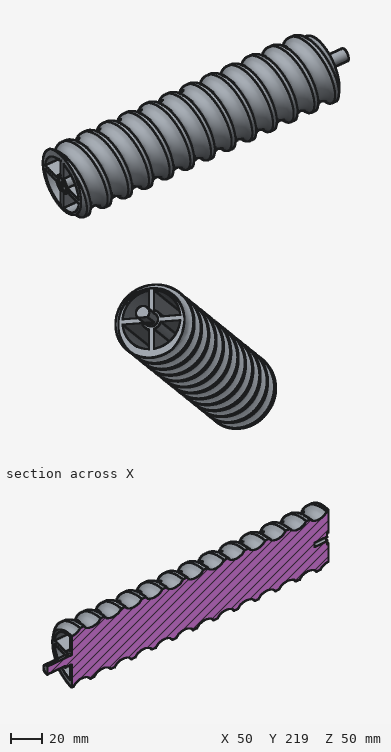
import cadquery as cq

drum_length = 200.0
drum_radius = 25.0
bore_radius = 19.5

pitch = 16.0
groove_depth = 4.0
groove_radius = 7.25
groove_path_radius = drum_radius - groove_depth + groove_radius
groove_overrun = 0.5 * pitch
end_allowance = groove_overrun + pitch
offcut_radius = drum_radius + 1.0

hub_radius = 6.5
spoke_thickness = 3.5
spoke_count = 4
spoke_angle = 360.0 / spoke_count

recess_radius = 5.0
recess_depth = 1.0
hole_radius = 1.75
hole_depth = 10.0

shaft_radius = 4.5
shaft_length = 19.0
shaft_flat_offset = 3.1
shaft_round_length = 5.0

origin = (0, 0, 0)
x_axis = (1, 0, 0)
y_axis = (0, 1, 0)
z_axis = (0, 0, 1)
quarter_turn = 90.0


def rod(radius, start, length):
    """Cylinder on the Y axis from y = start towards +Y, with its seam at +Z."""
    return cq.Workplane(cq.Plane((0, start, 0), z_axis, y_axis)).circle(radius).extrude(length)


def groove_cutter():
    """Circular section swept along a right-handed helix whose bottom meets -Z at y = 0."""
    helix = cq.Wire.makeHelix(pitch, drum_length + 2 * groove_overrun, groove_path_radius)
    section = cq.Workplane("XZ", origin=(groove_path_radius, 0, 0)).circle(groove_radius)
    coil = section.sweep(cq.Workplane(obj=helix), isFrenet=True)
    coil = coil.rotate(origin, x_axis, -quarter_turn).translate((0, -groove_overrun, 0))
    return coil.rotate(origin, y_axis, -quarter_turn)


def grooved_blank():
    """Solid bar, longer than the drum at both ends, carrying the groove."""
    blank = rod(drum_radius, -end_allowance, drum_length + 2 * end_allowance)
    return blank.cut(groove_cutter())


def spoked_core():
    """Hub and spokes as one solid, with spokes reaching past the bore wall."""
    core = rod(hub_radius, 0, drum_length)
    spoke = cq.Workplane("XY").box(
        drum_radius, drum_length, spoke_thickness, centered=(False, False, True)
    )
    for index in range(spoke_count):
        core = core.union(spoke.rotate(origin, y_axis, index * spoke_angle))
    return core


def hub_openings():
    """Recess and blind hole in the -Y end of the hub."""
    return rod(recess_radius, 0, recess_depth).union(rod(hole_radius, 0, recess_depth + hole_depth))


def drum():
    """Grooved bar trimmed to length and hollowed out around the hub and spokes, in a single cut."""
    near_offcut = rod(offcut_radius, -end_allowance, end_allowance)
    far_offcut = rod(offcut_radius, drum_length, end_allowance)
    pockets = rod(bore_radius, 0, drum_length).cut(spoked_core())
    waste = near_offcut.union(far_offcut).union(pockets).union(hub_openings())
    return grooved_blank().cut(waste)


def shaft():
    """Round shaft with a flat on its -Z side, from the round stretch to its free end."""
    flat_start = drum_length + shaft_round_length
    flat_length = shaft_length - shaft_round_length
    flat_cut = (
        cq.Workplane("XY")
        .box(2 * shaft_radius, flat_length, shaft_radius, centered=(True, False, False))
        .translate((0, flat_start, -shaft_flat_offset - shaft_radius))
    )
    return rod(shaft_radius, drum_length, shaft_length).cut(flat_cut)


result = drum().union(shaft())